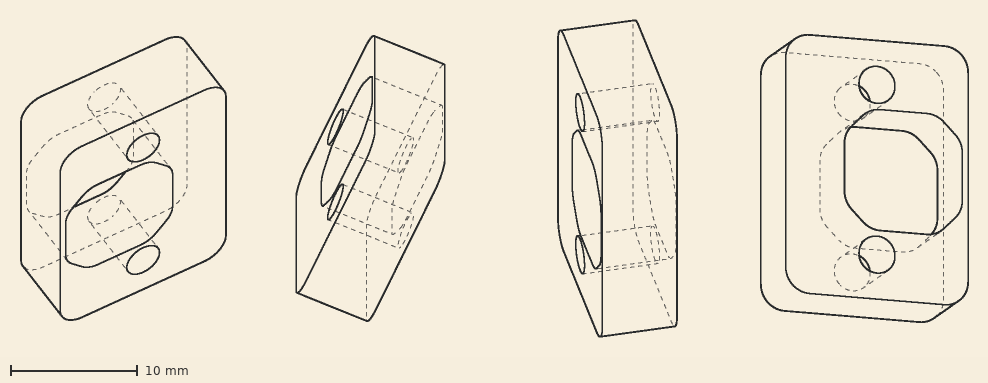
import cadquery as cq

thickness = 6.05
width = 15.2
height = 21.0
corner_radius = 2.0

hole_diameter = 3.0
hole_spacing = 13.78

window_size = 9.8
window_offset = -2.2
window_bevel = 2.12
window_corner_radius = 2.0


def make_plate():
    return cq.Workplane("YZ").box(width, height, thickness).edges("|X").fillet(corner_radius)


def make_holes():
    return (
        cq.Workplane("YZ")
        .pushPoints([(0, -hole_spacing / 2), (0, hole_spacing / 2)])
        .circle(hole_diameter / 2)
        .extrude(thickness / 2, both=True)
    )


def make_window():
    return (
        cq.Workplane("YZ")
        .center(window_offset, 0)
        .box(window_size, window_size, thickness)
        .edges("|X")
        .chamfer(window_bevel)
        .edges("|X")
        .fillet(window_corner_radius)
    )


result = make_plate().cut(make_holes()).cut(make_window())